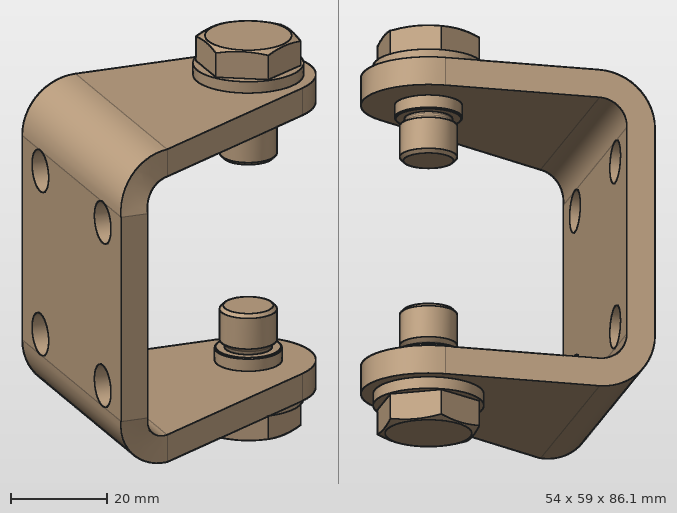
import cadquery as cq
import math

width = 54.0
depth = 59.0
bracket_height = 69.0
thickness = 6.0
bend_outer_radius = 12.0
bend_inner_radius = bend_outer_radius - thickness
bend_centre_z = bracket_height / 2 - bend_outer_radius
lug_radius = 14.0
lug_base_width = 50.0
pivot_x = lug_radius
pivot_y = depth - lug_radius

hole_diameter = 9.0
hole_edge_distance = 10.0
hole_spacing_x = width - 2 * hole_edge_distance
hole_spacing_z = 36.0

overall_height = 86.1
flange_diameter = 23.0
flange_height = 2.5
head_across_flats = 19.0
head_face_diameter = 18.0
head_chamfer_drop = 0.73
collar_diameter = 14.0
collar_length = 2.9
collar_chamfer = 0.3
neck_diameter = 10.0
neck_length = 0.6
neck_fillet = 0.7
shank_diameter = 12.0
shank_chamfer = 0.8
bolt_reach = 12.05


def make_back_plate():
    plate = cq.Workplane("XY").box(width, thickness, 2 * bend_centre_z, centered=(False, False, True))
    holes = (
        cq.Workplane("XZ")
        .center(width / 2, 0)
        .rarray(hole_spacing_x, hole_spacing_z, 2, 2)
        .circle(hole_diameter / 2)
        .extrude(-thickness)
    )
    return plate.cut(holes)


def make_lug():
    base_x = lug_base_width - pivot_x
    base_y = bend_outer_radius - pivot_y
    base_angle = math.atan2(base_y, base_x)
    tangent_angle = base_angle + math.acos(lug_radius / math.hypot(base_x, base_y))
    tangent_point = (
        pivot_x + lug_radius * math.cos(tangent_angle),
        pivot_y + lug_radius * math.sin(tangent_angle),
    )
    return (
        cq.Workplane("XY")
        .workplane(offset=bracket_height / 2 - thickness)
        .moveTo(0, bend_outer_radius)
        .lineTo(lug_base_width, bend_outer_radius)
        .lineTo(*tangent_point)
        .threePointArc((pivot_x, depth), (0, pivot_y))
        .close()
        .extrude(thickness)
    )


def bend_edge(radius):
    """Edge curve whose X position grows evenly with the bend angle, from lug to back plate."""

    def point(turn):
        angle = turn * math.pi / 2
        return (
            lug_base_width + (width - lug_base_width) * turn,
            bend_outer_radius - radius * math.sin(angle),
            bend_centre_z + radius * math.cos(angle),
        )

    return cq.Workplane("XY").parametricCurve(point, N=40, makeWire=False).val()


def make_bend():
    section = (
        cq.Workplane("YZ")
        .center(bend_outer_radius, bend_centre_z)
        .moveTo(0, bend_outer_radius)
        .radiusArc((-bend_outer_radius, 0), -bend_outer_radius)
        .lineTo(-bend_inner_radius, 0)
        .radiusArc((0, bend_inner_radius), bend_inner_radius)
        .close()
    )
    margin = 0.4
    end_face = cq.Face.makeRuledSurface(
        bend_edge(bend_inner_radius - margin), bend_edge(bend_outer_radius + margin)
    )
    trim = cq.Solid.extrudeLinear(end_face, cq.Vector(width, 0, 0))
    return section.extrude(width).cut(cq.Workplane(obj=trim))


def make_bolt():
    lug_top = bracket_height / 2
    lug_bottom = lug_top - thickness
    flange_top = lug_top + flange_height
    head_top = overall_height / 2
    tip = lug_bottom - bolt_reach
    collar_bottom = lug_bottom - collar_length
    neck_bottom = collar_bottom - neck_length
    neck_taper = (shank_diameter - neck_diameter) / 2
    fillet_setback = neck_fillet * math.tan(math.pi / 8)

    shaft = (
        cq.Workplane("XZ")
        .moveTo(0, tip)
        .lineTo(shank_diameter / 2 - shank_chamfer, tip)
        .lineTo(shank_diameter / 2, tip + shank_chamfer)
        .lineTo(shank_diameter / 2, neck_bottom - neck_taper)
        .lineTo(neck_diameter / 2 + fillet_setback * math.sin(math.pi / 4),
                neck_bottom - fillet_setback * math.cos(math.pi / 4))
        .tangentArcPoint((neck_diameter / 2, neck_bottom + fillet_setback), relative=False)
        .lineTo(neck_diameter / 2, collar_bottom)
        .lineTo(collar_diameter / 2 - collar_chamfer, collar_bottom)
        .lineTo(collar_diameter / 2, collar_bottom + collar_chamfer)
        .lineTo(collar_diameter / 2, lug_top)
        .lineTo(flange_diameter / 2, lug_top)
        .lineTo(flange_diameter / 2, flange_top)
        .lineTo(0, flange_top)
        .close()
        .revolve(360, (0, 0), (0, 1))
    )
    across_corners = head_across_flats / math.cos(math.pi / 6)
    head = (
        cq.Workplane("XY")
        .workplane(offset=flange_top)
        .polygon(6, across_corners)
        .extrude(head_top - flange_top)
    )
    head_envelope = (
        cq.Workplane("XZ")
        .moveTo(0, flange_top)
        .lineTo(across_corners / 2, flange_top)
        .lineTo(across_corners / 2, head_top - head_chamfer_drop)
        .lineTo(head_face_diameter / 2, head_top)
        .lineTo(0, head_top)
        .close()
        .revolve(360, (0, 0), (0, 1))
    )
    return shaft.union(head.intersect(head_envelope)).translate((pivot_x, pivot_y, 0))


upper_half = make_lug().union(make_bend()).union(make_bolt())
result = make_back_plate().union(upper_half).union(upper_half.mirror("XY"))